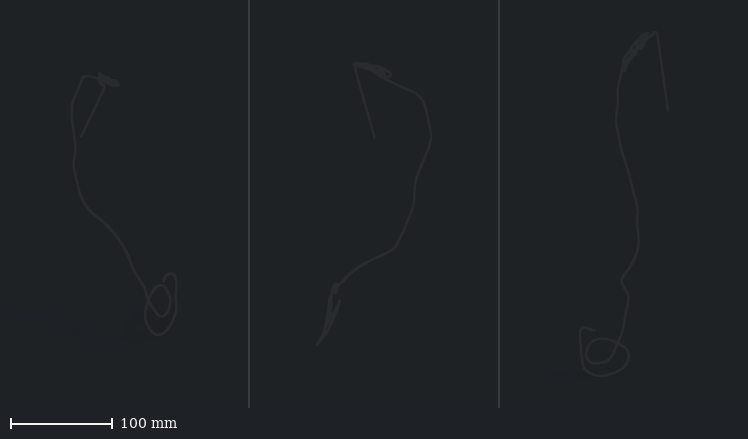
import cadquery as cq


WIRE_DIAMETER = 0.8

LEAD_END = (-14.4, -37.2, 106.0)
LEAD_TOP = (6.9, -31.2, 177.9)

LEAD_BEND = [
    (7.2, -29.6, 180.5),
    (5.3, -27.3, 181.0),
]

TANGLE_OUTER_LEFT = [
    (1.6, -25.9, 180.7),
    (-2.9, -20.6, 178.7),
    (-7.5, -13.8, 175.0),
    (-11.1, -6.9, 169.5),
    (-13.9, -1.0, 163.6),
    (-15.9, 3.7, 158.6),
    (-18.0, 6.2, 153.6),
    (-15.0, 7.6, 149.0),
    (-9.9, 7.2, 151.8),
]

TANGLE_MIDDLE = [
    (-7.8, 5.4, 154.9),
    (-6.6, -0.1, 160.0),
    (-4.0, -5.1, 165.9),
    (-1.7, -9.7, 169.5),
    (1.9, -14.7, 173.6),
    (6.0, -17.6, 175.3),
    (9.7, -17.4, 174.4),
    (11.3, -13.8, 172.5),
]

TANGLE_RETURN = [
    (8.8, -11.0, 170.3),
    (4.7, -10.3, 168.8),
    (0.1, -9.8, 168.1),
    (-3.6, -8.4, 166.7),
    (-7.2, -7.1, 166.1),
    (-10.2, -5.1, 164.7),
    (-12.2, -1.5, 161.8),
    (-13.0, 1.3, 159.1),
]

TANGLE_INNER = [
    (-10.9, 4.0, 154.9),
    (-7.2, 4.5, 153.9),
    (-2.6, 4.5, 154.3),
    (0.5, 3.6, 157.2),
    (2.4, 1.3, 160.0),
    (2.8, -2.3, 163.2),
    (0.5, -7.2, 165.7),
    (-3.1, -11.3, 167.5),
    (-5.9, -13.0, 170.0),
]

TANGLE_OUTER_RIGHT = [
    (-7.0, -14.4, 172.6),
    (-5.6, -15.6, 175.0),
    (-3.1, -17.0, 177.3),
    (2.4, -19.7, 179.6),
    (7.8, -21.5, 180.0),
    (11.9, -18.8, 177.3),
    (13.8, -14.7, 173.6),
    (12.9, -10.9, 170.0),
    (8.8, -5.2, 165.0),
    (4.2, 0.4, 159.9),
    (0.1, 4.6, 155.2),
    (-3.6, 6.0, 151.8),
]

UPPER_RUN = [
    (-8.6, 8.2, 147.2),
    (-17.5, 12.6, 140.0),
    (-29.5, 17.0, 132.1),
    (-37.5, 18.6, 128.4),
    (-44.0, 20.3, 122.2),
    (-47.3, 22.1, 115.0),
    (-49.3, 22.9, 107.0),
    (-52.2, 21.2, 96.0),
    (-54.6, 19.9, 86.0),
    (-55.85, 17.7, 76.3),
]

MIDDLE_RUN = [
    (-53.1, 13.1, 63.1),
    (-48.9, 9.0, 50.0),
    (-45.0, 5.2, 36.9),
    (-43.9, 2.0, 25.0),
    (-43.9, 0.3, 17.2),
    (-42.7, 0.2, 4.0),
    (-38.6, -1.6, -9.1),
    (-34.4, -3.0, -22.2),
]

LOWER_RUN = [
    (-29.4, -1.5, -35.3),
    (-23.8, 3.1, -48.5),
    (-19.4, 5.8, -55.0),
    (-13.0, 7.9, -61.5),
    (-3.3, 7.1, -68.2),
    (7.2, 3.9, -74.7),
    (16.0, 0.0, -81.3),
    (23.0, -4.3, -87.9),
    (28.1, -6.9, -94.4),
    (33.5, -7.5, -101.0),
    (37.7, -7.4, -107.6),
    (40.2, -6.6, -114.1),
    (41.5, -5.9, -121.0),
    (42.5, -4.3, -131.0),
]

INNER_LOOP = [
    (45.1, -0.9, -142.7),
    (46.9, 2.2, -151.3),
    (49.3, 6.1, -160.7),
    (50.7, 10.8, -165.0),
    (51.2, 17.8, -166.4),
    (49.8, 25.6, -165.0),
    (48.2, 29.9, -161.1),
    (45.4, 31.9, -154.5),
    (43.2, 31.5, -149.8),
    (41.1, 28.8, -142.7),
    (38.9, 23.3, -138.7),
    (37.9, 15.5, -137.9),
    (37.7, 7.7, -140.2),
]

OUTER_LOOP = [
    (38.9, -0.2, -145.1),
    (40.5, -6.4, -149.4),
    (43.0, -9.9, -155.2),
    (47.1, -11.1, -161.9),
    (51.2, -9.5, -169.3),
    (54.2, -4.8, -175.2),
    (55.75, 3.0, -179.0),
    (55.75, 12.4, -181.0),
    (55.75, 20.2, -179.9),
    (55.0, 27.2, -176.2),
    (53.9, 31.9, -171.7),
]

TAIL = [
    (52.3, 34.2, -163.8),
    (51.4, 35.6, -155.2),
    (51.4, 36.3, -145.9),
    (50.9, 36.9, -138.0),
    (49.6, 37.05, -132.6),
    (46.6, 35.5, -128.3),
    (44.2, 32.1, -127.7),
    (43.2, 27.6, -129.5),
    (44.0, 23.7, -130.6),
]

BENT_STRETCHES = [
    LEAD_BEND,
    TANGLE_OUTER_LEFT,
    TANGLE_MIDDLE,
    TANGLE_RETURN,
    TANGLE_INNER,
    TANGLE_OUTER_RIGHT,
    UPPER_RUN,
    MIDDLE_RUN,
    LOWER_RUN,
    INNER_LOOP,
    OUTER_LOOP,
    TAIL,
]


def unit_direction(start, end):
    """Direction from one point to another, with length 1."""
    return (cq.Vector(*end) - cq.Vector(*start)).normalized()


def wire_centre_line():
    """The straight lead, then one curve per bent stretch, each tangent to the one before it."""
    edges = [cq.Edge.makeLine(cq.Vector(*LEAD_END), cq.Vector(*LEAD_TOP))]
    joint = LEAD_TOP
    joint_direction = unit_direction(LEAD_END, LEAD_TOP)
    for index, stretch in enumerate(BENT_STRETCHES):
        before_end, end = stretch[-2:]
        following = BENT_STRETCHES[index + 1 :]
        after_end = following[0][0] if following else end
        end_direction = unit_direction(before_end, after_end)
        points = [cq.Vector(*point) for point in [joint] + stretch]
        edges.append(cq.Edge.makeSpline(points, tangents=[joint_direction, end_direction], scale=False))
        joint = end
        joint_direction = end_direction
    return cq.Wire.assembleEdges(edges)


def round_wire(centre_line):
    """A round section swept along the centre line, square to it at the lead's free end."""
    lead_direction = unit_direction(LEAD_END, LEAD_TOP)
    section_plane = cq.Plane(origin=LEAD_END, normal=lead_direction.toTuple())
    section = cq.Workplane(section_plane).circle(WIRE_DIAMETER / 2)
    return section.sweep(centre_line)


result = round_wire(wire_centre_line())